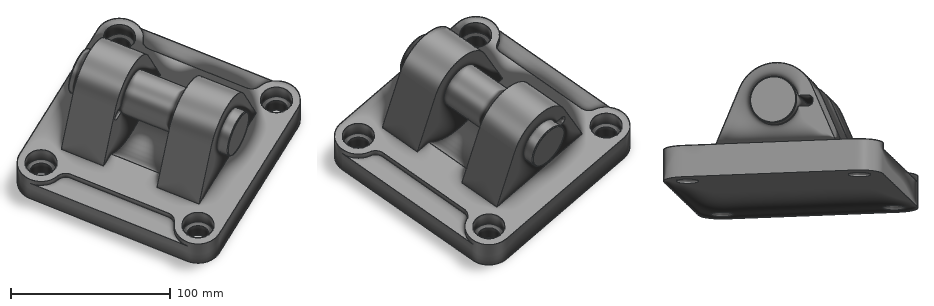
import cadquery as cq
import math

base_size = 140.0
base_thickness = 20.0
corner_radius = 15.0
bolt_offset = base_size / 2 - corner_radius

hole_diameter = 14.0
counterbore_diameter = 20.0
counterbore_depth = 10.0

relief_depth = 4.0
relief_corner_fillet = 7.0

lug_gap = 37.5
lug_outer_span = 96.6
lug_width = (lug_outer_span - lug_gap) / 2
lug_base_width = 80.1
lug_top_radius = 25.0
axis_height = 50.0
pin_diameter = 30.0
pin_length = 112.0
pin_chamfer = 0.5

clearance_radius = 42.0

keyway_height = 7.0
keyway_reach = 24.0


def cylinder_along_x(radius, length):
    """Cylinder on the pin axis, centred on X = 0."""
    return (
        cq.Workplane("YZ", origin=(-length / 2, 0, axis_height))
        .circle(radius)
        .extrude(length)
    )


def make_base():
    return (
        cq.Workplane("XY")
        .rect(base_size, base_size)
        .extrude(base_thickness)
        .edges("|Z")
        .fillet(corner_radius)
    )


def make_relief(side):
    """Edge step between two round corner pads; side is +1 or -1 along Y."""
    wall_y = side * bolt_offset
    edge_y = side * base_size / 2
    fillet_y = wall_y + side * relief_corner_fillet
    centre_distance = corner_radius + relief_corner_fillet
    fillet_x = bolt_offset - math.sqrt(centre_distance**2 - relief_corner_fillet**2)
    pad_fraction = corner_radius / centre_distance
    meet_x = bolt_offset + (fillet_x - bolt_offset) * pad_fraction
    meet_y = wall_y + (fillet_y - wall_y) * pad_fraction
    meet_angle = math.asin(relief_corner_fillet / centre_distance)
    mid_angle = (meet_angle + math.pi / 2) / 2
    pad_mid_x = bolt_offset - corner_radius * math.cos(mid_angle)
    pad_mid_y = wall_y + side * corner_radius * math.sin(mid_angle)
    fillet_mid_x = fillet_x + relief_corner_fillet * math.cos(mid_angle)
    fillet_mid_y = fillet_y - side * relief_corner_fillet * math.sin(mid_angle)
    return (
        cq.Workplane("XY", origin=(0, 0, base_thickness - relief_depth))
        .moveTo(-bolt_offset, edge_y)
        .threePointArc((-pad_mid_x, pad_mid_y), (-meet_x, meet_y))
        .threePointArc((-fillet_mid_x, fillet_mid_y), (-fillet_x, wall_y))
        .lineTo(fillet_x, wall_y)
        .threePointArc((fillet_mid_x, fillet_mid_y), (meet_x, meet_y))
        .threePointArc((pad_mid_x, pad_mid_y), (bolt_offset, edge_y))
        .close()
        .extrude(relief_depth)
    )


def make_lugs():
    """Two lugs with straight flanks tangent to the round top."""
    half_width = lug_base_width / 2
    rise = axis_height - base_thickness
    corner_distance = math.hypot(half_width, rise)
    tangent_angle = math.acos(lug_top_radius / corner_distance) - math.atan2(rise, half_width)
    tangent_y = lug_top_radius * math.cos(tangent_angle)
    tangent_z = axis_height + lug_top_radius * math.sin(tangent_angle)
    block = (
        cq.Workplane("YZ", origin=(-lug_outer_span / 2, 0, 0))
        .moveTo(-half_width, base_thickness)
        .lineTo(half_width, base_thickness)
        .lineTo(tangent_y, tangent_z)
        .threePointArc((0, axis_height + lug_top_radius), (-tangent_y, tangent_z))
        .close()
        .extrude(lug_outer_span)
    )
    gap_height = axis_height + lug_top_radius
    gap = cq.Workplane("XY").box(lug_gap, lug_base_width, gap_height, centered=(True, True, False))
    return block.cut(gap)


def make_keyway():
    """Round-ended slot from the pin axis outward in -Y, through the -X lug."""
    return (
        cq.Workplane("YZ", origin=(-lug_outer_span / 2, -keyway_reach / 2, axis_height))
        .slot2D(keyway_reach, keyway_height)
        .extrude(lug_width)
    )


pin = cylinder_along_x(pin_diameter / 2, pin_length).faces("<X or >X").chamfer(pin_chamfer)

base = make_base().cut(make_relief(1)).cut(make_relief(-1))
base = base.cut(cylinder_along_x(clearance_radius, lug_gap))
base = (
    base.faces(">Z")
    .workplane(origin=(0, 0, base_thickness))
    .rect(2 * bolt_offset, 2 * bolt_offset, forConstruction=True)
    .vertices()
    .cboreHole(hole_diameter, counterbore_diameter, counterbore_depth)
)

result = base.union(make_lugs()).cut(make_keyway()).union(pin)